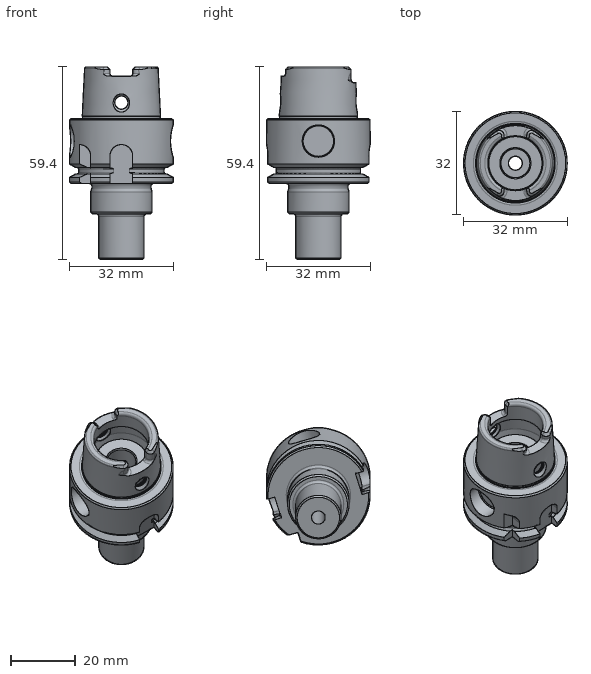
import cadquery as cq
import math


total_height = 59.4
shank_radius = 14.0 / 2
shank_chamfer = 0.5
collar_radius = 19.0 / 2
collar_bottom = 14.1
collar_chamfer = 0.55
collar_top = 20.85
collar_bottom_fillet = 0.85
neck_radius = 18.3 / 2
neck_bottom = 22.1
neck_fillet = 0.8

flange_radius = 32.0 / 2
flange_bottom = 23.4
flange_top = 43.5
flange_edge_chamfer = 0.5
groove_middle = 27.4
groove_root_radius = 13.25
groove_step_radius = 14.15
groove_step_half_height = 0.98
groove_root_fillet = 0.5
groove_flank_angle = 30.0

relief_outer_radius = 12.95
relief_inner_radius = 12.3
relief_depth = 0.1
relief_neck_radius = 24.1 / 2
relief_neck_top = 44.1
taper_bottom = 44.2

taper_base_radius = 12.1
taper_slope = 1 / 20
rim_outer_fillet = 0.55
rim_inner_fillet = 0.95
mouth_radius = 17.0 / 2
mouth_bottom = 52.75
cavity_radius = 20.5 / 2
cavity_flank_drop = 1.0
cavity_wall_bottom = 46.75
trench_floor = 42.75
trench_outer_radius = 9.2
hub_radius = 8.2
hub_top = 46.35

socket_radius = 8.9 / 2
socket_depth = 8.9
socket_chamfer = 0.35
through_radius = 4.2 / 2

keyway_half_width = 3.5
keyway_outer_radius = 11.45
keyway_floor_front = 56.55
keyway_floor_back = 54.6
keyway_corner_radius = 1.5
keyway_edge_chamfer = 0.85
keyway_floor_fillet = 0.9

access_radius = 4.0 / 2
access_height = 48.4
countersink_radius = 2.8
access_land = 0.25
inner_sink_radius = 2.7
countersink_clearance = 0.9

slot_half_width = 3.5
slot_arch_center = 31.95
slot_floor = 13.0
corner_slot_floor = 9.5

pocket_radius = 10.0 / 2
pocket_height = 36.55
pocket_depth = 4.65
pocket_floor_chamfer = 0.3
pocket_angles = (0.0, 186.6)

overshoot = 5.95


def turned_body():
    """Solid of revolution with every outer step, groove and chamfer."""
    flank_rise = (flange_radius - groove_step_radius) * math.tan(math.radians(groove_flank_angle))
    lower_step = groove_middle - groove_step_half_height
    upper_step = groove_middle + groove_step_half_height
    taper_top_radius = taper_base_radius - taper_slope * (total_height - taper_bottom)
    outline = (
        cq.Workplane("XZ")
        .moveTo(0, 0)
        .lineTo(shank_radius - shank_chamfer, 0)
        .lineTo(shank_radius, shank_chamfer)
        .lineTo(shank_radius, collar_bottom - collar_bottom_fillet)
        .radiusArc(
            (shank_radius + collar_bottom_fillet, collar_bottom), collar_bottom_fillet
        )
        .lineTo(collar_radius - collar_chamfer, collar_bottom)
        .lineTo(collar_radius, collar_bottom + collar_chamfer)
        .lineTo(collar_radius, collar_top)
        .lineTo(neck_radius, neck_bottom)
        .lineTo(neck_radius, flange_bottom - neck_fillet)
        .radiusArc((neck_radius + neck_fillet, flange_bottom), neck_fillet)
        .lineTo(flange_radius - flange_edge_chamfer, flange_bottom)
        .lineTo(flange_radius, flange_bottom + flange_edge_chamfer)
        .lineTo(flange_radius, lower_step - flank_rise)
        .lineTo(groove_step_radius, lower_step)
        .lineTo(groove_root_radius + groove_root_fillet, lower_step)
        .radiusArc((groove_root_radius, lower_step + groove_root_fillet), groove_root_fillet)
        .lineTo(groove_root_radius, upper_step - groove_root_fillet)
        .radiusArc((groove_root_radius + groove_root_fillet, upper_step), groove_root_fillet)
        .lineTo(groove_step_radius, upper_step)
        .lineTo(flange_radius, upper_step + flank_rise)
        .lineTo(flange_radius, flange_top - flange_edge_chamfer)
        .lineTo(flange_radius - flange_edge_chamfer, flange_top)
        .lineTo(relief_outer_radius, flange_top)
        .lineTo(relief_inner_radius, flange_top - relief_depth)
        .lineTo(relief_neck_radius, flange_top)
        .lineTo(relief_neck_radius, relief_neck_top)
        .lineTo(taper_base_radius, taper_bottom)
        .lineTo(taper_top_radius, total_height)
        .lineTo(0, total_height)
        .close()
    )
    body = outline.revolve(360, (0, 0, 0), (0, 1, 0))
    return body.faces(">Z").edges().fillet(rim_outer_fillet)


def axial_cavity():
    """Rounded mouth, undercut cavity, ring trench, socket and through bore as one cutter."""
    socket_floor = hub_top - socket_depth
    rim_start = total_height - rim_inner_fillet
    outline = (
        cq.Workplane("XZ")
        .moveTo(0, 0)
        .lineTo(through_radius, 0)
        .lineTo(through_radius, socket_floor)
        .lineTo(socket_radius, socket_floor)
        .lineTo(socket_radius, hub_top - socket_chamfer)
        .lineTo(socket_radius + socket_chamfer, hub_top)
        .lineTo(hub_radius, hub_top)
        .lineTo(hub_radius, trench_floor)
        .lineTo(trench_outer_radius, trench_floor)
        .lineTo(cavity_radius, cavity_wall_bottom)
        .lineTo(cavity_radius, mouth_bottom - cavity_flank_drop)
        .lineTo(mouth_radius, mouth_bottom)
        .lineTo(mouth_radius, rim_start)
        .radiusArc((mouth_radius + rim_inner_fillet, total_height), rim_inner_fillet)
        .lineTo(0, total_height)
        .close()
    )
    return outline.revolve(360, (0, 0, 0), (0, 1, 0))


def keyway_cutter(floor_height):
    """Space above a keyway on the +Y side: rounded mouth corners, filleted floor, flared top."""
    corner_x = keyway_half_width + keyway_corner_radius
    corner_y = math.sqrt((keyway_outer_radius - keyway_corner_radius) ** 2 - corner_x ** 2)
    heading = math.atan2(corner_y, corner_x)
    middle_heading = (math.pi + heading) / 2

    def on_corner(angle):
        return (
            corner_x + keyway_corner_radius * math.cos(angle),
            corner_y + keyway_corner_radius * math.sin(angle),
        )

    tangent = on_corner(heading)
    run = 2 * overshoot
    tangent_end = (tangent[0] + run * math.sin(heading), tangent[1] - run * math.cos(heading))
    far_y = keyway_outer_radius + overshoot

    def mirrored(point):
        return (-point[0], point[1])

    def footprint(height):
        return (
            cq.Workplane("XY", origin=(0, 0, height))
            .moveTo(keyway_half_width, 0)
            .lineTo(keyway_half_width, corner_y)
            .threePointArc(on_corner(middle_heading), tangent)
            .lineTo(*tangent_end)
            .lineTo(tangent_end[0], far_y)
            .lineTo(-tangent_end[0], far_y)
            .lineTo(*mirrored(tangent_end))
            .lineTo(*mirrored(tangent))
            .threePointArc(mirrored(on_corner(middle_heading)), (-keyway_half_width, corner_y))
            .lineTo(-keyway_half_width, 0)
            .close()
        )

    wall_edges = cq.selectors.BoxSelector(
        (-keyway_half_width - 0.6, 0.6, floor_height - 0.6),
        (keyway_half_width + 0.6, corner_y, floor_height + 0.6),
    )
    straight = footprint(floor_height).extrude(total_height - floor_height)
    straight = straight.edges(wall_edges).fillet(keyway_floor_fillet)
    flare = footprint(total_height - keyway_edge_chamfer).extrude(keyway_edge_chamfer, taper=-45)
    return straight.union(flare)


def access_hole():
    """Cross hole along Y, countersunk at 90 degrees from outside and from inside each wall."""
    surface = taper_base_radius - taper_slope * (access_height - taper_bottom)
    sink_start = surface - (countersink_radius - access_radius)
    inner_sink_start = sink_start - access_land
    inner_sink_end = inner_sink_start - (inner_sink_radius - access_radius)
    reach = surface + countersink_clearance
    sink_outer_radius = countersink_radius + countersink_clearance
    outline = (
        cq.Workplane("XY")
        .moveTo(0, -reach)
        .lineTo(sink_outer_radius, -reach)
        .lineTo(access_radius, -sink_start)
        .lineTo(access_radius, -inner_sink_start)
        .lineTo(inner_sink_radius, -inner_sink_end)
        .lineTo(access_radius, -hub_radius)
        .lineTo(access_radius, hub_radius)
        .lineTo(inner_sink_radius, inner_sink_end)
        .lineTo(access_radius, inner_sink_start)
        .lineTo(access_radius, sink_start)
        .lineTo(sink_outer_radius, reach)
        .lineTo(0, reach)
        .close()
    )
    return outline.revolve(360, (0, 0, 0), (0, 1, 0)).translate((0, 0, access_height))


def arched_slot(center_x, floor_y, side):
    """Round-topped flange slot milled along Y, open at the flange underside."""
    depth = flange_radius + overshoot - floor_y
    height = slot_arch_center - flange_bottom
    slot = (
        cq.Workplane("XY")
        .box(2 * slot_half_width, depth, height, centered=(True, False, False))
        .translate((0, 0, flange_bottom))
    )
    arch = cq.Workplane("XZ").center(0, slot_arch_center).circle(slot_half_width).extrude(-depth)
    slot = slot.union(arch).translate((center_x, floor_y, 0))
    return slot if side > 0 else slot.mirror("XZ")


def rim_pocket(angle):
    """Flat-bottomed round pocket drilled radially into the flange rim."""
    pocket = (
        cq.Workplane("YZ", origin=(flange_radius - pocket_depth, 0, pocket_height))
        .circle(pocket_radius)
        .extrude(pocket_depth + overshoot)
        .faces("<X")
        .chamfer(pocket_floor_chamfer)
    )
    return pocket.rotate((0, 0, 0), (0, 0, 1), angle)


result = turned_body().cut(axial_cavity())
result = result.cut(keyway_cutter(keyway_floor_back))
result = result.cut(keyway_cutter(keyway_floor_front).mirror("XZ"))
result = result.cut(access_hole())
for slot_side in (-1, 1):
    result = result.cut(arched_slot(0, slot_floor, slot_side))
result = result.cut(arched_slot(-corner_slot_floor - slot_half_width, corner_slot_floor, -1))
for pocket_angle in pocket_angles:
    result = result.cut(rim_pocket(pocket_angle))